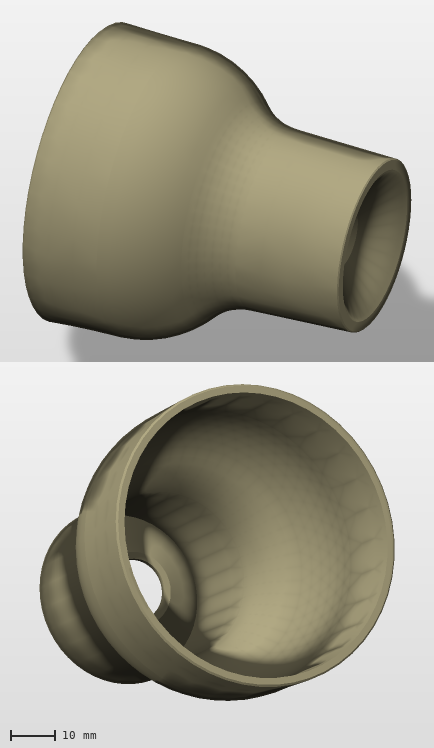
import cadquery as cq
import math

length = 72.0
rim_radius = 35.0
wall = 2.0
draft = math.radians(2.0)
shoulder_start = 18.3
shoulder_radius = 24.8
neck_radius = 15.85
steepest_slope = math.radians(47.5)
rim_chamfer = 0.4
end_chamfer = 0.3

funnel_slope = math.radians(34.5)
funnel_tip_radius = 8.6
funnel_hole_radius = 7.0


def radial_point(center, radius, angle):
    """Point on an arc whose normal is tilted from the radial direction by angle."""
    return (center[0] + radius * math.sin(angle), center[1] + radius * math.cos(angle))


shoulder_start_radius = rim_radius - shoulder_start * math.tan(draft)
shoulder_center = radial_point((shoulder_start, shoulder_start_radius), -shoulder_radius, draft)
neck_center = radial_point(shoulder_center, shoulder_radius + neck_radius, steepest_slope)
neck_end_x, neck_end_radius = radial_point(neck_center, -neck_radius, draft)
mid_slope = (draft + steepest_slope) / 2

funnel_base_radius = (
    neck_end_radius - (length - wall - neck_end_x) * math.tan(draft) - wall / math.cos(draft)
)


def bell_solid(inset, end_x):
    """Solid bell whose surface lies the given distance inside the outer skin, from x = 0 to end_x."""
    shoulder = shoulder_radius - inset
    neck = -(neck_radius + inset)
    neck_end = radial_point(neck_center, neck, draft)
    start_radius = rim_radius - inset / math.cos(draft)
    end_radius = neck_end[1] - (end_x - neck_end[0]) * math.tan(draft)
    return (
        cq.Workplane("XY")
        .moveTo(0, 0)
        .lineTo(0, start_radius)
        .lineTo(*radial_point(shoulder_center, shoulder, draft))
        .threePointArc(
            radial_point(shoulder_center, shoulder, mid_slope),
            radial_point(shoulder_center, shoulder, steepest_slope),
        )
        .threePointArc(radial_point(neck_center, neck, mid_slope), neck_end)
        .lineTo(end_x, end_radius)
        .lineTo(end_x, 0)
        .close()
        .revolve(360, (0, 0, 0), (1, 0, 0))
    )


def cone_solid(base_x, tip_radius):
    """Cone on the funnel slope narrowing from base_x to a flat at tip_radius."""
    tip_x = base_x - (funnel_base_radius - tip_radius) * math.tan(funnel_slope)
    return (
        cq.Workplane("XY")
        .moveTo(tip_x, 0)
        .lineTo(tip_x, tip_radius)
        .lineTo(base_x, funnel_base_radius)
        .lineTo(base_x, 0)
        .close()
        .revolve(360, (0, 0, 0), (1, 0, 0))
    )


outer = bell_solid(0, length)
outer = outer.faces("<X").chamfer(rim_chamfer)
outer = outer.faces(">X").chamfer(end_chamfer)

funnel_floor = length - wall
cavity = bell_solid(wall, funnel_floor).cut(cone_solid(funnel_floor, funnel_tip_radius))

hollow_base = funnel_floor + wall / math.cos(funnel_slope)
hollow = cone_solid(hollow_base, funnel_hole_radius)
center_hole = cq.Workplane("YZ").circle(funnel_hole_radius).extrude(length)

result = outer.cut(cavity).cut(hollow).cut(center_hole)